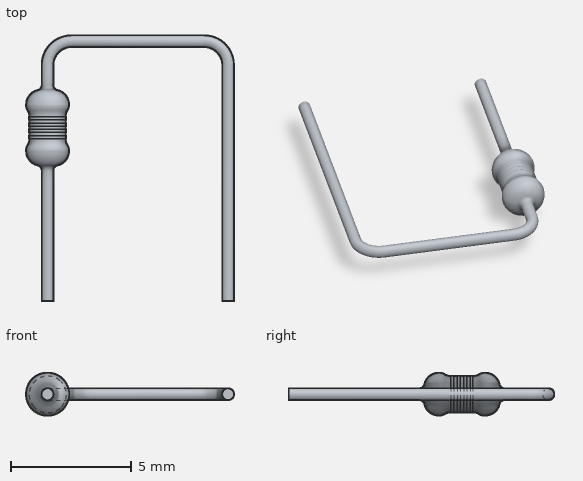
import cadquery as cq
import math

wire_diameter = 0.5
wire_radius = wire_diameter / 2
lead_pitch = 7.5
bend_radius = 1.0
total_length = 11.05

body_center_y = 7.2
bulge_radius = 1.8 / 2
waist_radius = 1.52 / 2
bulge_offset = 0.95
shoulder_run = 0.23
dome_end_offset = 1.58
dome_end_radius = 0.36
neck_end_offset = 1.77

band_radius = 1.55 / 2
band_width = 0.12
band_pitch = 0.27
band_count = 4


def make_wire():
    """Sweep the round wire along both leads and the crossbar."""
    crossbar_y = total_length - wire_radius
    bend_start_y = crossbar_y - bend_radius
    bend_inset = bend_radius * (1 - math.sqrt(0.5))
    path = (
        cq.Workplane("XY")
        .lineTo(0, bend_start_y)
        .threePointArc((bend_inset, crossbar_y - bend_inset), (bend_radius, crossbar_y))
        .lineTo(lead_pitch - bend_radius, crossbar_y)
        .threePointArc((lead_pitch - bend_inset, crossbar_y - bend_inset), (lead_pitch, bend_start_y))
        .lineTo(lead_pitch, 0)
    )
    return cq.Workplane("XZ").circle(wire_radius).sweep(path)


def make_half_body():
    """Revolve one half of the body: waist, shoulder, dome and neck."""
    shoulder_mid_offset = bulge_offset - shoulder_run
    shoulder_mid_radius = (bulge_radius + waist_radius) / 2
    waist_end_offset = shoulder_mid_offset - shoulder_run
    return (
        cq.Workplane("XY")
        .lineTo(waist_radius, 0)
        .lineTo(waist_radius, waist_end_offset)
        .tangentArcPoint((shoulder_mid_radius, shoulder_mid_offset), relative=False)
        .tangentArcPoint((bulge_radius, bulge_offset), relative=False)
        .tangentArcPoint((dome_end_radius, dome_end_offset), relative=False)
        .threePointArc(neck_midpoint(), (wire_radius, neck_end_offset))
        .lineTo(0, neck_end_offset)
        .close()
        .revolve(360, (0, 0), (0, 1))
    )


def neck_midpoint():
    """Midpoint of the concave neck arc, which meets the wire tangentially."""
    run = neck_end_offset - dome_end_offset
    rise = dome_end_radius - wire_radius
    neck_radius = (run**2 + rise**2) / (2 * rise)
    half_angle = math.asin(run / neck_radius) / 2
    return (
        wire_radius + neck_radius * (1 - math.cos(half_angle)),
        neck_end_offset - neck_radius * math.sin(half_angle),
    )


def make_band(index):
    """Thin raised ring around the waist."""
    center_offset = (index - (band_count - 1) / 2) * band_pitch
    start_y = center_offset - band_width / 2
    return cq.Workplane("XZ", origin=(0, start_y, 0)).circle(band_radius).extrude(-band_width)


half_body = make_half_body()
body = half_body.union(half_body.mirror("XZ"))
for band_index in range(band_count):
    body = body.union(make_band(band_index))

result = make_wire().union(body.translate((0, body_center_y, 0)))